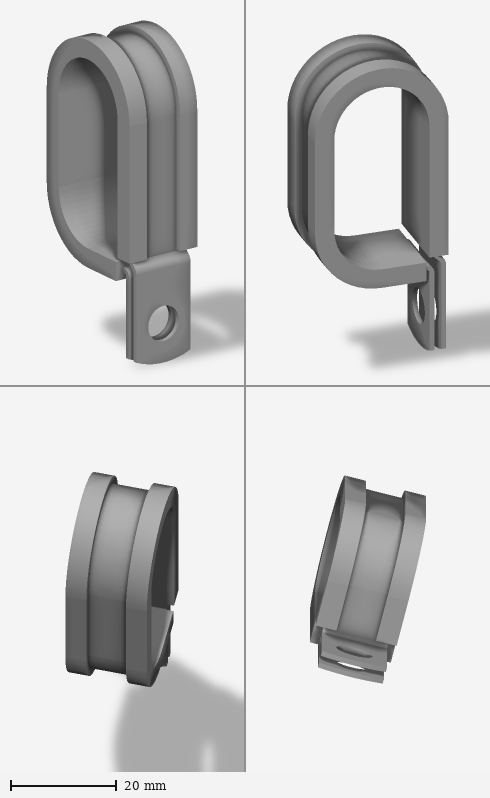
import cadquery as cq
import math

total_height = 62.5
loop_width = 26.75
cushion_thickness = 3.9
cushion_depth = 15.75
straight_height = 19.0
right_leg_end = 21.6
bottom_lip_end = 8.95

groove_depth = 1.5
groove_width = 7.7

strap_thickness = 0.95
bend_inner_radius = 0.75
tab_width = 12.6
inner_tab_outer_x = 11.05
jog_angle = 45.0
jog_top = 21.2
hole_diameter = 7.05
hole_height = 7.9
tip_bulge = 1.3

outer_radius = loop_width / 2
upper_center = total_height - outer_radius
lower_center = upper_center - straight_height
loop_bottom = lower_center - outer_radius
bend_outer_radius = bend_inner_radius + strap_thickness


def loop_band(outer_inset, inner_inset, depth):
    """Open loop lying between two insets from the outer outline, centred on Y."""
    outer = outer_radius - outer_inset
    inner = outer_radius - inner_inset
    return (
        cq.Workplane("XZ")
        .moveTo(outer, right_leg_end)
        .lineTo(outer, upper_center)
        .threePointArc((0, upper_center + outer), (-outer, upper_center))
        .lineTo(-outer, lower_center)
        .radiusArc((0, lower_center - outer), -outer)
        .lineTo(bottom_lip_end, lower_center - outer)
        .lineTo(bottom_lip_end, lower_center - inner)
        .lineTo(0, lower_center - inner)
        .radiusArc((-inner, lower_center), inner)
        .lineTo(-inner, upper_center)
        .threePointArc((0, upper_center + inner), (inner, upper_center))
        .lineTo(inner, right_leg_end)
        .close()
        .extrude(depth / 2, both=True)
    )


def inner_tab():
    """Strap end that leaves the bottom lip and bends down through 90 degrees."""
    strap_bottom = loop_bottom + groove_depth
    strap_top = strap_bottom + strap_thickness
    inner_x = inner_tab_outer_x - strap_thickness
    bend_height = strap_bottom - bend_inner_radius
    bend_x = inner_x - bend_inner_radius
    return (
        cq.Workplane("XZ")
        .moveTo(bottom_lip_end, strap_top)
        .lineTo(bend_x, strap_top)
        .radiusArc((inner_tab_outer_x, bend_height), bend_outer_radius)
        .lineTo(inner_tab_outer_x, 0)
        .lineTo(inner_x, 0)
        .lineTo(inner_x, bend_height)
        .radiusArc((bend_x, strap_bottom), -bend_inner_radius)
        .lineTo(bottom_lip_end, strap_bottom)
        .close()
        .extrude(tab_width / 2, both=True)
    )


def outer_tab():
    """Strap end that leaves the right leg and jogs outward to the loop's outer side."""
    strap_x = outer_radius - groove_depth
    jog_slope = math.tan(math.radians(jog_angle))
    miter = strap_thickness * math.tan(math.radians(jog_angle / 2))
    jog_bottom = jog_top - groove_depth / jog_slope
    tangent = bend_outer_radius * math.tan(math.radians(jog_angle / 2))
    tangent_x = outer_radius - tangent * math.sin(math.radians(jog_angle))
    tangent_z = jog_bottom + tangent * math.cos(math.radians(jog_angle))
    return (
        cq.Workplane("XZ")
        .moveTo(strap_x, right_leg_end)
        .lineTo(strap_x, jog_top)
        .lineTo(tangent_x, tangent_z)
        .radiusArc((outer_radius, jog_bottom - tangent), bend_outer_radius)
        .lineTo(outer_radius, 0)
        .lineTo(outer_radius - strap_thickness, 0)
        .lineTo(outer_radius - strap_thickness, jog_bottom - miter)
        .lineTo(strap_x - strap_thickness, jog_top - miter)
        .lineTo(strap_x - strap_thickness, right_leg_end)
        .close()
        .extrude(tab_width / 2, both=True)
    )


def tab_outline():
    """Face outline shared by both tabs: round hole and bulged tip, extruded along X."""
    half_width = tab_width / 2
    return (
        cq.Workplane("YZ")
        .moveTo(-half_width, tip_bulge)
        .threePointArc((0, 0), (half_width, tip_bulge))
        .lineTo(half_width, total_height)
        .lineTo(-half_width, total_height)
        .close()
        .moveTo(0, hole_height)
        .circle(hole_diameter / 2)
        .extrude(loop_width)
    )


cushion = loop_band(0, cushion_thickness, cushion_depth)
cushion = cushion.cut(loop_band(0, groove_depth, groove_width))

tabs = inner_tab().union(outer_tab()).intersect(tab_outline())

result = cushion.union(tabs)